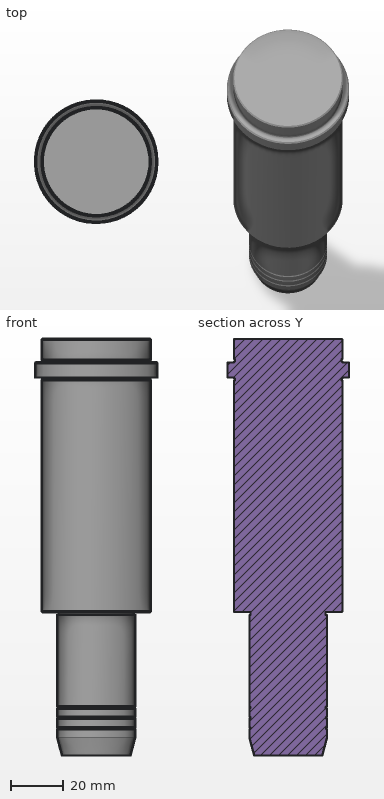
import cadquery as cq
import math

total_length = 160.0
guide_length = 55.0
collar_thickness = 6.0
head_length = 9.0

body_radius = 42.0 / 2
collar_radius = 47.0 / 2
guide_radius = 30.0 / 2

edge_break = 0.5
relief_depth = 0.5
relief_width = 1.0

tip_length = 7.0
tip_angle = 15.0
tip_fillet = 0.5

groove_count = 3
groove_pitch = 4.0
groove_depth = 0.5
groove_width = 1.0
lowest_groove_z = 10.5

collar_top = total_length - head_length
collar_bottom = collar_top - collar_thickness
tip_radius = guide_radius - tip_length * math.tan(math.radians(tip_angle))


def cylinder(radius, bottom, top):
    """Solid cylinder on the Z axis between two levels."""
    return cq.Workplane("XY").workplane(offset=bottom).circle(radius).extrude(top - bottom)


def guide_relief():
    """Square ring that cuts the relief at the upper end of the guide."""
    bottom = guide_length - relief_width
    outer = cylinder(guide_radius, bottom, guide_length)
    return outer.cut(cylinder(guide_radius - relief_depth, bottom, guide_length))


def vee_groove(center_z):
    """Ring that cuts a V-shaped groove into the guide."""
    return (
        cq.Workplane("XZ")
        .moveTo(guide_radius - groove_depth, center_z)
        .lineTo(guide_radius, center_z + groove_width / 2)
        .lineTo(guide_radius, center_z - groove_width / 2)
        .close()
        .revolve(360, (0, 0, 0), (0, 1, 0))
    )


def collar_relief(shoulder_z, direction):
    """Ring that cuts a relief beside a collar face, square at the far wall and flared at the collar."""
    neck_radius = body_radius - relief_depth
    neck_z = shoulder_z + direction * relief_depth
    outer_z = shoulder_z + direction * relief_width
    return (
        cq.Workplane("XZ")
        .moveTo(body_radius, shoulder_z)
        .lineTo(neck_radius, neck_z)
        .lineTo(neck_radius, outer_z)
        .lineTo(body_radius, outer_z)
        .close()
        .revolve(360, (0, 0, 0), (0, 1, 0))
    )


def make_body():
    """Long middle section, from the guide shoulder up to the collar."""
    return cylinder(body_radius, guide_length, collar_bottom).faces("<Z").chamfer(edge_break)


def make_collar():
    """Locating collar with its upper edge broken."""
    return cylinder(collar_radius, collar_bottom, collar_top).faces(">Z").chamfer(edge_break)


def make_head():
    """Short section above the collar."""
    return cylinder(body_radius, collar_top, total_length).faces(">Z").chamfer(edge_break)


def make_guide():
    """Slender guide with a tapered lead-in and a filleted end."""
    guide = (
        cq.Workplane("XZ")
        .lineTo(tip_radius, 0)
        .lineTo(guide_radius, tip_length)
        .lineTo(guide_radius, guide_length)
        .lineTo(0, guide_length)
        .close()
        .revolve(360, (0, 0, 0), (0, 1, 0))
    )
    return guide.faces("<Z").edges().fillet(tip_fillet)


def cut_shoulder_reliefs(part):
    """Shallow reliefs on both sides of the collar and below the body."""
    part = part.cut(collar_relief(collar_top, 1))
    part = part.cut(collar_relief(collar_bottom, -1))
    return part.cut(guide_relief())


def cut_lubrication_grooves(part):
    """Evenly spaced grooves above the lead-in."""
    for index in range(groove_count):
        part = part.cut(vee_groove(lowest_groove_z + index * groove_pitch))
    return part


pin = make_guide().union(make_body()).union(make_collar()).union(make_head())
result = cut_lubrication_grooves(cut_shoulder_reliefs(pin))